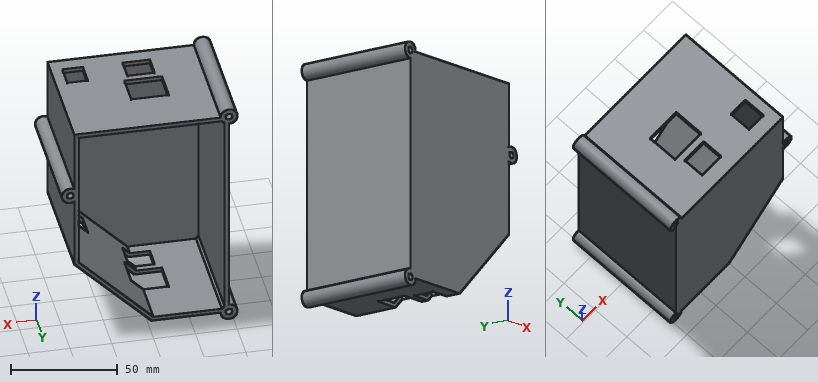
import cadquery as cq

total_height = 118.5
total_width = 84.0
depth = 62.0
wall = 2.1

lug_diameter = 8.0
screw_hole_diameter = 3.1
side_lug_offset = 1.9
side_lug_height = 76.1

body_height = total_height - lug_diameter
body_width = total_width - lug_diameter - side_lug_offset
slope_run = 37.0

lug_centers = [
    (0, 0),
    (0, body_height),
    (body_width + side_lug_offset, side_lug_height),
]

ports = [
    (23.9, 22.6, 18.0, 15.9),
    (26.7, 7.8, 13.0, 11.1),
    (58.7, 7.5, 9.8, 11.5),
]


def extrude_back(sketch, length):
    """Extrude an XZ sketch toward +Y."""
    return sketch.extrude(-length)


def body_outline():
    return (
        cq.Workplane("XZ")
        .moveTo(0, 0)
        .lineTo(body_width - slope_run, 0)
        .lineTo(body_width, slope_run)
        .lineTo(body_width, body_height)
        .lineTo(0, body_height)
        .close()
    )


def make_shell():
    """Box of uniform wall thickness, closed at the front and open at the back."""
    return extrude_back(body_outline(), depth).faces(">Y").shell(-wall)


def lug_cylinders(diameter):
    return extrude_back(cq.Workplane("XZ").pushPoints(lug_centers).circle(diameter / 2), depth)


def port_cutter(left, front, width, length):
    """Vertical prism through the top wall and the wall below it."""
    return cq.Workplane("XY").box(width, length, body_height, centered=False).translate((left, front, 0))


result = make_shell().union(lug_cylinders(lug_diameter)).cut(lug_cylinders(screw_hole_diameter))
for port in ports:
    result = result.cut(port_cutter(*port))